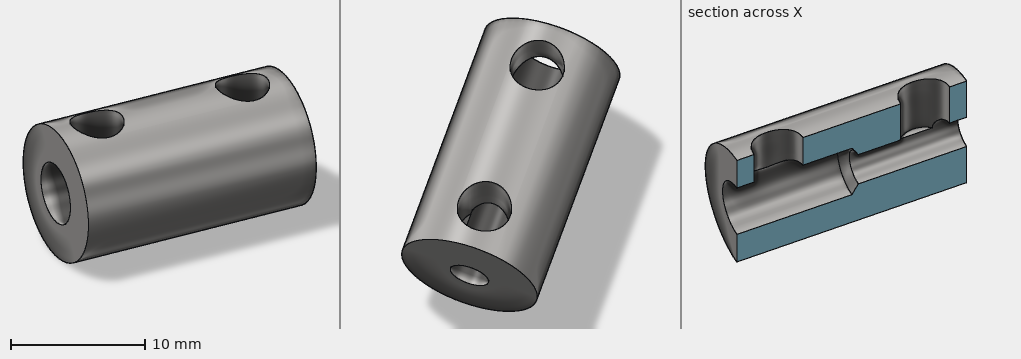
import cadquery as cq
import math

length = 19.05
outer_diameter = 10.67

wide_bore_diameter = 4.8
narrow_bore_diameter = 3.01
wide_bore_depth = length / 2
drill_tip_angle = 118.0

screw_hole_diameter = 4.04
screw_hole_end_distance = 3.45

front_y = -length / 2
outer_radius = outer_diameter / 2
wide_radius = wide_bore_diameter / 2
narrow_radius = narrow_bore_diameter / 2
tip_length = (wide_radius - narrow_radius) / math.tan(math.radians(drill_tip_angle / 2))


def make_sleeve():
    """Revolve the half section of the sleeve, with its stepped bore, about Y."""
    wide_end_y = front_y + wide_bore_depth
    half_section = [
        (wide_radius, front_y),
        (outer_radius, front_y),
        (outer_radius, -front_y),
        (narrow_radius, -front_y),
        (narrow_radius, wide_end_y + tip_length),
        (wide_radius, wide_end_y),
    ]
    return cq.Workplane("XY").polyline(half_section).close().revolve(360, (0, 0, 0), (0, 1, 0))


def make_screw_holes():
    """Two radial cutters, one near each end, from the axis up through the top."""
    hole_y = length / 2 - screw_hole_end_distance
    return (
        cq.Workplane("XY")
        .pushPoints([(0, -hole_y), (0, hole_y)])
        .circle(screw_hole_diameter / 2)
        .extrude(outer_radius)
    )


result = make_sleeve().cut(make_screw_holes())